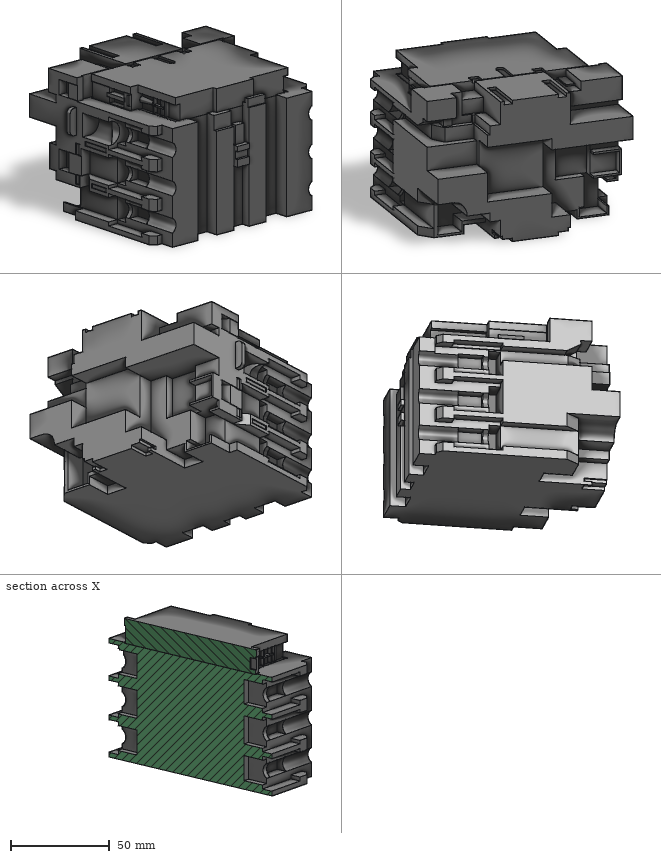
import cadquery as cq

HEIGHT = 75.5
HALF_WIDTH = 53.2
BODY_FRONT = 20.3
BODY_BACK = 94.2
DECK_Z = 62.9
SEAT_Z = 62.4
COVER_WIDE = 43.1
COVER_NARROW = 38.0
COVER_STEP_X = 65.6
TERMINAL_FACE = 47.2
TERMINAL_BACK = 102.3
OVERALL_LENGTH = 103.25
OVERALL_WIDTH = 110.7
TOWER_HALF = 19.1
TOWER_BACK = 35.0
SHOULDER_BACK = 36.2
COVER_FRONT = 35.9
LEDGE_Z = 70.7
FLOOR_RIM = 4.8
ARM_BOTTOM = 46.2
ARM_TOP = 58.5
SHELF_Z = 38.5
STEP_Y = 26.1
SKIRT_Z = 17.8
SMALL = 1.0


def block(x, y, z):
    """Box spanning the given (low, high) ranges."""
    size = (x[1] - x[0], y[1] - y[0], z[1] - z[0])
    return cq.Workplane("XY").box(*size, centered=False).translate((x[0], y[0], z[0]))


def plan_prism(points, z):
    """Prism with an XY outline, spanning the given z range."""
    return cq.Workplane("XY").workplane(offset=z[0]).polyline(points).close().extrude(z[1] - z[0])


def rod(x, y, z, radius):
    """Round bar along X."""
    return cq.Workplane("YZ").workplane(offset=x[0]).center(y, z).circle(radius).extrude(x[1] - x[0])


def cover_outline(wide, narrow, z):
    """Stepped plan shape shared by the cover and its seat."""
    points = [
        (COVER_FRONT, -wide),
        (COVER_STEP_X, -wide),
        (COVER_STEP_X, -narrow),
        (BODY_BACK, -narrow),
        (BODY_BACK, narrow),
        (COVER_STEP_X, narrow),
        (COVER_STEP_X, wide),
        (COVER_FRONT, wide),
    ]
    return plan_prism(points, z)


ARC_TOP_Z = 24.9
ARC_END = (37.3, 16.8)
ARC_START_Y = 45.0
ARC_MID = (39.6, 22.6)
SIDE_STEP_Y = 24.7
RECESS_BOTTOM = 22.9
RECESS_TOP = 52.1
RECESS_DEPTH = 11.7
NARROW_Y = -8.9
FOOT_TOP = 10.3
LOW_STEP_Z = 12.1
HIGH_STEP_Z = 63.4
SHOULDER_STEP_Z = 58.6


def stepped_face():
    outline = (
        cq.Workplane("YZ")
        .moveTo(-TOWER_HALF, 0)
        .lineTo(TOWER_HALF, 0)
        .lineTo(TOWER_HALF, LOW_STEP_Z)
        .lineTo(SIDE_STEP_Y, LOW_STEP_Z)
        .lineTo(SIDE_STEP_Y, ARC_END[1])
        .lineTo(*ARC_END)
        .threePointArc(ARC_MID, (ARC_START_Y, ARC_TOP_Z))
        .lineTo(HALF_WIDTH, ARC_TOP_Z)
        .lineTo(HALF_WIDTH, SHELF_Z)
        .lineTo(STEP_Y, SHELF_Z)
        .lineTo(STEP_Y, SHOULDER_STEP_Z)
        .lineTo(SIDE_STEP_Y, SHOULDER_STEP_Z)
        .lineTo(SIDE_STEP_Y, HIGH_STEP_Z)
        .lineTo(TOWER_HALF, HIGH_STEP_Z)
        .lineTo(TOWER_HALF, HEIGHT)
        .lineTo(-TOWER_HALF, HEIGHT)
        .lineTo(-TOWER_HALF, ARM_TOP)
        .lineTo(-HALF_WIDTH, ARM_TOP)
        .lineTo(-HALF_WIDTH, ARM_BOTTOM)
        .lineTo(NARROW_Y, ARM_BOTTOM)
        .lineTo(NARROW_Y, FOOT_TOP)
        .lineTo(-TOWER_HALF, FOOT_TOP)
        .close()
        .extrude(BODY_FRONT)
    )
    return outline.cut(block((0, RECESS_DEPTH), (NARROW_Y, STEP_Y), (RECESS_BOTTOM, RECESS_TOP)))


SLOT_DEPTH = 1.8
SLOT_Y = (12.6, 17.0)
TOP_SLOT_LENGTH = 22.5
BOTTOM_SLOT_LENGTH = RECESS_DEPTH


def face_slots():
    """Shallow grooves running back from x = 0 along the tower's top and underside."""
    slots = cq.Workplane("XY")
    for y in (SLOT_Y, (-SLOT_Y[1], -SLOT_Y[0])):
        slots = slots.add(block((0, TOP_SLOT_LENGTH), y, (HEIGHT - SLOT_DEPTH, HEIGHT)))
        slots = slots.add(block((0, BOTTOM_SLOT_LENGTH), y, (0, SLOT_DEPTH)))
    return slots.combine()


FOOT_CLIP_DEPTH = 1.2
FOOT_CLIP_TOP = 3.5
FOOT_UNDERCUT_LENGTH = 7.9
FOOT_UNDERCUT_DEPTH = TOWER_HALF - SLOT_Y[1]


def foot_clips():
    """Recesses with a small bar left at their back, in both sides of the foot."""
    side = -TOWER_HALF
    recess = block((0, RECESS_DEPTH), (side, side + FOOT_CLIP_DEPTH), (0, FOOT_CLIP_TOP))
    recess = recess.cut(block((FOOT_UNDERCUT_LENGTH, RECESS_DEPTH), (side, 0), (0, SLOT_DEPTH)))
    undercut_y = (side, side + FOOT_UNDERCUT_DEPTH)
    clip = recess.union(block((0, FOOT_UNDERCUT_LENGTH), undercut_y, (0, SLOT_DEPTH)))
    return clip.union(clip.mirror("XZ"))


UPPER_NOTCH_Z = (51.0, 58.7)
NOTCH_FLOOR = 46.4
END_CHAMFER = 2.9
SLANT_RUN = 7.0
SLANT_INNER_Y = 41.9
NOTCH_FRONT = 18.6
NOTCH_ROOF_Z = 62.5
FOOT_NOTCH_Y = (TOWER_HALF, 30.9)
FOOT_NOTCH_BACK = 35.0


def main_body():
    body = block((BODY_FRONT, BODY_BACK), (-HALF_WIDTH, HALF_WIDTH), (0, DECK_Z))
    full_x = (BODY_FRONT, BODY_BACK)
    outside = HALF_WIDTH + SMALL
    body = body.cut(block(full_x, (NOTCH_FLOOR, outside), UPPER_NOTCH_Z))
    for y in ((TERMINAL_FACE, outside), (-outside, -TERMINAL_FACE)):
        body = body.cut(block(full_x, y, (FLOOR_RIM, SKIRT_Z)))
    for side in (1, -1):
        corner = [
            (BODY_BACK, side * HALF_WIDTH),
            (BODY_BACK - END_CHAMFER, side * HALF_WIDTH),
            (BODY_BACK, side * (HALF_WIDTH - END_CHAMFER)),
        ]
        body = body.cut(plan_prism(corner, (0, DECK_Z)))
    body = body.cut(cover_outline(COVER_WIDE, COVER_NARROW, (SEAT_Z, DECK_Z)))
    return body.union(block((BODY_FRONT, TOWER_BACK), (-TOWER_HALF, TOWER_HALF), (DECK_Z, HEIGHT)))


def slanted_starts():
    """Cutters that give the +Y walls slanted front ends."""
    def slant(front, inner, outer, z):
        points = [(front, inner), (front, outer), (front + SLANT_RUN, outer)]
        return plan_prism(points, z)

    slants = slant(NOTCH_FRONT, SLANT_INNER_Y, NOTCH_FLOOR, UPPER_NOTCH_Z)
    slants = slants.union(slant(BODY_FRONT, TERMINAL_FACE, HALF_WIDTH, (0, FLOOR_RIM)))
    slants = slants.union(slant(BODY_FRONT, TERMINAL_FACE, HALF_WIDTH, (SKIRT_Z, ARC_TOP_Z)))
    roof = (
        cq.Workplane("XZ", origin=(0, HALF_WIDTH, 0))
        .moveTo(BODY_FRONT, UPPER_NOTCH_Z[1])
        .lineTo(BODY_FRONT, NOTCH_ROOF_Z)
        .lineTo(BODY_FRONT + SLANT_RUN, UPPER_NOTCH_Z[1])
        .close()
        .extrude(HALF_WIDTH - SLANT_INNER_Y)
    )
    return slants.union(roof)


def channel_face():
    """Face block standing slightly forward at the start of the +Y channel."""
    return block((NOTCH_FRONT, BODY_FRONT), (STEP_Y, NOTCH_FLOOR), UPPER_NOTCH_Z)


def corner_undercut():
    """Step back of the body under the inner part of the +Y corner block."""
    return block((BODY_FRONT, POS_STEP_X), (STEP_Y, POS_STEP_Y), (UPPER_NOTCH_Z[1], DECK_Z))


def foot_notches():
    """Notches under the body on both sides of the tower foot."""
    low, high = FOOT_NOTCH_Y
    x = (BODY_FRONT, FOOT_NOTCH_BACK)
    return block(x, (low, high), (0, FLOOR_RIM)).union(block(x, (-high, -low), (0, FLOOR_RIM)))


CORNER_FRONT = 14.5
NEG_BLOCK_Y = -30.7
POS_BLOCK_Y = 31.2
POS_STEP_Y = 37.2
POS_STEP_X = 21.7
LEDGE_FRONT = 22.9
POS_BLOCK_BOTTOM = 64.6
PAD_Y = -25.9
PAD_Z = 71.6
SLIT_Y = (-48.9, 46.4)


def front_corners():
    to_back = (CORNER_FRONT, SHOULDER_BACK)
    to_slit = (CORNER_FRONT, TOWER_BACK)
    neg = block(to_back, (-HALF_WIDTH, NEG_BLOCK_Y), (DECK_Z, HEIGHT))
    neg_ledge = block(to_slit, (NEG_BLOCK_Y, -TOWER_HALF), (DECK_Z, LEDGE_Z))
    pad = block((LEDGE_FRONT, TOWER_BACK), (NEG_BLOCK_Y, PAD_Y), (LEDGE_Z, PAD_Z))
    pos = block(to_back, (POS_STEP_Y, HALF_WIDTH), (POS_BLOCK_BOTTOM, HEIGHT))
    pos_root = block((BODY_FRONT, SHOULDER_BACK), (POS_STEP_Y, HALF_WIDTH), (DECK_Z, POS_BLOCK_BOTTOM))
    pos_inner = block((POS_STEP_X, SHOULDER_BACK), (POS_BLOCK_Y, POS_STEP_Y), (DECK_Z, HEIGHT))
    pos_ledge = block((LEDGE_FRONT, TOWER_BACK), (TOWER_HALF, POS_BLOCK_Y), (DECK_Z, LEDGE_Z))
    shelf = block((CORNER_FRONT, BODY_FRONT), (STEP_Y, HALF_WIDTH), (SHELF_Z, UPPER_NOTCH_Z[0]))
    corners = neg
    for piece in (neg_ledge, pad, pos, pos_root, pos_inner, pos_ledge, shelf):
        corners = corners.union(piece)
    return corners.cut(block((TOWER_BACK, SHOULDER_BACK), SLIT_Y, (DECK_Z, HEIGHT)))


LATCH_FRONT = 15.5
LATCH_Y = -37.8
LATCH_Z = (22.4, 36.2)
TRAY_SIDE_Y = -34.7
BAY_BACK = 25.0
POCKET_Z = (19.0, LATCH_Z[0])
POCKET_SKIN = 1.2
LATCH_WALL = 1.1
TRAY_FLOOR = 0.9
TRAY_WALL_FRONT = 35.0
TRAY_OUTER_Y = -48.2
TRAY_INNER_Y = -TERMINAL_FACE
TRAY_TOE_Y = -32.1
TRAY_TOE_TOP = 6.0
TRAY_BACK = 32.4
POS_TRAY_FLOOR = 1.2
POS_TRAY_Y = 32.0
POS_TRAY_SILL = 7.0


def latch_block():
    latch = block((LATCH_FRONT, BODY_FRONT), (-HALF_WIDTH, LATCH_Y), LATCH_Z)
    hollow_y = (LATCH_WALL - HALF_WIDTH, LATCH_Y)
    hollow_z = (LATCH_Z[0] + LATCH_WALL, LATCH_Z[1] - LATCH_WALL)
    return latch.cut(block((LATCH_FRONT, BODY_FRONT), hollow_y, hollow_z))


def bay_and_trays():
    """Open cavities in the front of the main body, below the arm and on the +Y side."""
    bay = block((BODY_FRONT, BAY_BACK), (LATCH_Y, -TOWER_HALF), (LATCH_Z[0], ARM_BOTTOM))
    pocket = block((BODY_FRONT, BAY_BACK), (POCKET_SKIN - HALF_WIDTH, TRAY_INNER_Y), POCKET_Z)
    tray_x = (BODY_FRONT, TRAY_BACK)
    tray = block(tray_x, (TRAY_INNER_Y, TRAY_SIDE_Y), (TRAY_FLOOR, LATCH_Z[0]))
    toe = block(tray_x, (TRAY_SIDE_Y, TRAY_TOE_Y), (TRAY_FLOOR, TRAY_TOE_TOP))
    rim_x = (BODY_FRONT, TRAY_WALL_FRONT)
    rim = block(rim_x, (-HALF_WIDTH, TRAY_OUTER_Y), (0, FLOOR_RIM))
    pos_outer = block(tray_x, (POS_TRAY_Y, ARC_START_Y), (POS_TRAY_FLOOR, ARC_TOP_Z))
    pos_inner = block(tray_x, (TOWER_HALF, POS_TRAY_Y), (POS_TRAY_SILL, ARC_TOP_Z))
    cavities = bay
    for cavity in (pocket, tray, toe, rim, pos_outer, pos_inner):
        cavities = cavities.union(cavity)
    return cavities


WINDOW_FRONT = 22.6
WINDOW_DEPTH = 5.0
WINDOW_FLAT = 0.3
UPPER_RAMP_X = (26.2, 29.4)
LOWER_RAMP_X = (26.7, 29.8)
UPPER_WINDOW_Z = (DECK_Z + 0.4, 71.4)
LOWER_WINDOW_Z = (23.9, 34.6)
FLAG_BACK = 39.3


def ramp_window(ramp_x, back, z):
    """Pocket in the -Y wall whose floor ramps up to a nearly flush flat."""
    floor_y = WINDOW_DEPTH - HALF_WIDTH
    flat_y = WINDOW_FLAT - HALF_WIDTH
    outside = -HALF_WIDTH - SMALL
    points = [
        (WINDOW_FRONT, outside),
        (WINDOW_FRONT, floor_y),
        (ramp_x[0], floor_y),
        (ramp_x[1], flat_y),
        (back, flat_y),
        (back, outside),
    ]
    return plan_prism(points, z)


COMB_FRONT = 60.4
MIDDLE_OPENING_Z = (24.1, 38.8)
FIN_RAMP_X = (38.7, 45.8)
TUNNEL_FRONT = 40.6
TUNNEL_Z = (45.2, 57.8)
TUNNEL_STEP = 51.2
TUNNEL_DEPTHS = (11.0, 7.5)
LABEL_DEPTH = 0.6
LABEL_BACK = 58.4
LABELS = (
    ((42.6, LABEL_BACK), (40.9, 43.2)),
    ((47.4, LABEL_BACK), (19.8, 22.0)),
)
TAB_X = (35.0, 38.0)
TABS_Z = ((19.0, LOWER_WINDOW_Z[0]), (LOWER_WINDOW_Z[1], 40.6))
TAB_DEPTH = 0.8


def middle_opening():
    wall_y = (-HALF_WIDTH - SMALL, -TERMINAL_FACE)
    opening = block((FLAG_BACK, COMB_FRONT), wall_y, MIDDLE_OPENING_Z)
    ramp = [
        (FIN_RAMP_X[0], -HALF_WIDTH),
        (FIN_RAMP_X[1], -HALF_WIDTH),
        (FIN_RAMP_X[0], -TERMINAL_FACE),
    ]
    return opening.union(plan_prism(ramp, (SKIRT_Z, MIDDLE_OPENING_Z[0])))


def tunnel():
    """Rounded trough, deeper at its front and ramping up to a shallower part."""
    radius = (TUNNEL_Z[1] - TUNNEL_Z[0]) / 2
    centre_z = (TUNNEL_Z[1] + TUNNEL_Z[0]) / 2
    x = (TUNNEL_FRONT, COMB_FRONT)
    deep_y, shallow_y = (depth - HALF_WIDTH for depth in TUNNEL_DEPTHS)
    mouth = -HALF_WIDTH - SMALL

    def trough(floor_y):
        axis_y = floor_y - radius
        return rod(x, axis_y, centre_z, radius).union(block(x, (mouth, axis_y), TUNNEL_Z))

    ramp_run = deep_y - mouth
    front_part = plan_prism(
        [
            (TUNNEL_FRONT, mouth),
            (TUNNEL_FRONT, deep_y),
            (TUNNEL_STEP, deep_y),
            (TUNNEL_STEP + ramp_run, mouth),
        ],
        TUNNEL_Z,
    )
    return trough(deep_y).intersect(front_part).union(trough(shallow_y))


def wall_marks():
    """Shallow label recesses and the tab slots above and below the flag."""
    outer = -HALF_WIDTH - SMALL
    marks = cq.Workplane("XY")
    for z in TABS_Z:
        marks = marks.add(block(TAB_X, (outer, TAB_DEPTH - HALF_WIDTH), z))
    for x, z in LABELS:
        marks = marks.add(block(x, (outer, LABEL_DEPTH - HALF_WIDTH), z))
    return marks.combine()


POLE_Z = (11.4, 31.1, 51.5)
OPENINGS_Z = ((2.7, 19.8), (22.4, 40.6), (43.1, 60.3))
TERMINAL_FRONT = 66.4
GAP_DEPTH = 12.0
STOP_FRONT = 85.6
STOPS_Z = ((0, FLOOR_RIM), (17.8, 24.2), (38.8, 45.3), (58.0, DECK_Z))
TERMINAL_INNER_Y = 30.0
GROOVE_HALF_CHORD = 3.9
GROOVE_RADIUS = 4.4
SCREW_X = (69.2, 82.0)
SCREW_DEPTH = 6.0


def terminal_openings(side):
    """Comb openings, gaps, conductor grooves and screw pockets on one side (+1 or -1 in Y)."""
    def across(inner, outer):
        return tuple(sorted((side * inner, side * outer)))

    outside = HALF_WIDTH + SMALL
    cutter = cq.Workplane("XY")
    for z in OPENINGS_Z:
        cutter = cutter.add(block((COMB_FRONT, STOP_FRONT), across(TERMINAL_FACE, outside), z))
        low_stop = max(top for _, top in STOPS_Z if top < z[1] and top > z[0])
        high_stop = min(low for low, _ in STOPS_Z if low > low_stop)
        end_z = (low_stop, high_stop)
        gap_y = across(TERMINAL_FACE - GAP_DEPTH, TERMINAL_FACE)
        cutter = cutter.add(block((COMB_FRONT, TERMINAL_FRONT), gap_y, end_z))
        cutter = cutter.add(block((STOP_FRONT, BODY_BACK), across(TERMINAL_FACE, outside), end_z))
    groove_offset = (GROOVE_RADIUS**2 - GROOVE_HALF_CHORD**2) ** 0.5
    for z in POLE_Z:
        groove_y = side * (TERMINAL_FACE + groove_offset)
        cutter = cutter.add(rod((TERMINAL_FRONT, TERMINAL_BACK), groove_y, z, GROOVE_RADIUS))
        screw_y = across(TERMINAL_FACE - SCREW_DEPTH, TERMINAL_FACE)
        screw_z = (z - GROOVE_HALF_CHORD, z + GROOVE_HALF_CHORD)
        cutter = cutter.add(block(SCREW_X, screw_y, screw_z))
    return cutter


def terminal_ends():
    """Blocks carrying the conductor grooves on past the walls."""
    x = (BODY_BACK, TERMINAL_BACK)
    right = block(x, (-TERMINAL_FACE, -TERMINAL_INNER_Y), (0, DECK_Z))
    return right.union(right.mirror("XZ"))


RIB_BACK = 96.7
CLIP_Y = (5.1, 16.7)
CLIP_BACK = 101.6
CENTRE_CLIP_HALF = 4.1
CLIP_Z = (33.6, 44.7)
CLIP_GAP_Z = (37.7, 41.8)
SHORT_CLIP_X = 99.6
SHORT_CLIP_TOP = 55.0
POST_X = 100.4
POST_HALF = 2.9
POST_TOP = 55.0
HOOK_X = (98.4, 100.7)
HOOK_TOP = 67.4
HOOK_FOOT_TOP = 64.9


def rear_clips():
    half = CLIP_Y[1]
    clips = block((BODY_BACK, RIB_BACK), (-half, half), (0, DECK_Z))
    for y in (CLIP_Y, (-half, -CLIP_Y[0])):
        clips = clips.union(block((RIB_BACK, CLIP_BACK), y, (0, DECK_Z)))
    clips = clips.union(block((RIB_BACK, HOOK_X[1]), CLIP_Y, (DECK_Z, HOOK_FOOT_TOP)))
    clips = clips.union(block(HOOK_X, CLIP_Y, (HOOK_FOOT_TOP, HOOK_TOP)))
    step_y = (-half, -CLIP_Y[0])
    clips = clips.cut(block((SHORT_CLIP_X, CLIP_BACK), step_y, (SHORT_CLIP_TOP, DECK_Z)))
    post = block((RIB_BACK, POST_X), (-POST_HALF, POST_HALF), (CLIP_Z[1], POST_TOP))
    clips = clips.union(post)
    centre_y = (-CENTRE_CLIP_HALF, CENTRE_CLIP_HALF)
    clips = clips.union(block((RIB_BACK, OVERALL_LENGTH), centre_y, CLIP_Z))
    return clips.cut(block((CLIP_BACK, OVERALL_LENGTH), centre_y, CLIP_GAP_Z))


def make_housing():
    housing = main_body()
    parts = (
        stepped_face(),
        channel_face(),
        front_corners(),
        latch_block(),
        terminal_ends(),
        rear_clips(),
    )
    for part in parts:
        housing = housing.union(part)
    cutters = (
        face_slots(),
        foot_clips(),
        foot_notches(),
        corner_undercut(),
        slanted_starts(),
        bay_and_trays(),
        ramp_window(UPPER_RAMP_X, SHOULDER_BACK, UPPER_WINDOW_Z),
        ramp_window(LOWER_RAMP_X, FLAG_BACK, LOWER_WINDOW_Z),
        middle_opening(),
        tunnel(),
        wall_marks(),
    )
    for cutter in cutters:
        housing = housing.cut(cutter)
    for side in (1, -1):
        for cutter in terminal_openings(side).vals():
            housing = housing.cut(cq.Workplane(cutter))
    return housing


PLATE_Z = 71.5
OVERHANG = 0.6
REAR_OVERHANG = 3.0
TONGUE_HALF = 12.5
KEYWAY_END = 50.0
KEYWAY_WIDTH = 4.4
POCKET_BACK = 41.2
POCKET_Y = (14.7, 20.0)
POCKET_DEPTH = 1.2
CONTACT_X = (48.9, 60.0)
CONTACT_DEPTH = 3.5
CONTACT_RAMP = 2.2
BAR_X = (47.7, 60.9)
BAR_Z = (66.3, 68.3)
POS_BAR_Y = 43.8
FRAME_X = (62.4, 64.0)
FRAME_Z = (64.6, 70.4)
REAR_RIBS_X = ((76.0, 77.0), (82.0, 83.0), (84.9, 86.0))
RIB_DEPTH = 2.2
RAIL_Z = (66.7, 67.6)
RAIL_X = (75.5, 84.3)
PIN_X = (COVER_STEP_X, 74.5)
PIN_Z = 67.3
PIN_RADII = (1.8, 1.0)


def side_contacts():
    """Details on the -Y flank below the plate, as (pieces to remove, pieces to add)."""
    flank = OVERHANG - COVER_WIDE
    floor = flank + CONTACT_DEPTH
    pocket = plan_prism(
        [
            (CONTACT_X[0], flank),
            (CONTACT_X[0], floor),
            (CONTACT_X[1] - CONTACT_RAMP, floor),
            (CONTACT_X[1], flank),
        ],
        (DECK_Z, PLATE_Z),
    )
    frame = block(FRAME_X, (flank, floor), FRAME_Z)
    bar = block(BAR_X, (-COVER_WIDE, floor), BAR_Z)
    rear = REAR_OVERHANG - COVER_NARROW
    added = bar.union(block(RAIL_X, (rear - RIB_DEPTH, rear), RAIL_Z))
    for x in REAR_RIBS_X:
        added = added.union(block(x, (rear - RIB_DEPTH, rear), (DECK_Z, PLATE_Z)))
    pin = (
        cq.Workplane("YZ").workplane(offset=PIN_X[0]).center(rear, PIN_Z).circle(PIN_RADII[0])
        .workplane(offset=PIN_X[1] - PIN_X[0]).circle(PIN_RADII[1]).loft()
    )
    return pocket.union(frame), added.union(pin)


def make_cover():
    lower = cover_outline(COVER_WIDE - OVERHANG, COVER_NARROW - REAR_OVERHANG, (SEAT_Z, PLATE_Z))
    removed, added = side_contacts()
    pos_bar = block(BAR_X, (COVER_WIDE - OVERHANG, POS_BAR_Y), BAR_Z)
    cover = lower.cut(removed).union(added).union(pos_bar)
    cover = cover.union(cover_outline(COVER_WIDE, COVER_NARROW, (PLATE_Z, HEIGHT)))
    cover = cover.union(block((BODY_BACK, RIB_BACK), (-TONGUE_HALF, TONGUE_HALF), (DECK_Z, HEIGHT)))
    pocket_z = (HEIGHT - POCKET_DEPTH, HEIGHT)
    for y in (POCKET_Y, (-POCKET_Y[1], -POCKET_Y[0])):
        cover = cover.cut(block((COVER_FRONT, POCKET_BACK), y, pocket_z))
    keyway = (
        cq.Workplane("XY").workplane(offset=pocket_z[0]).center(COVER_FRONT, 0)
        .slot2D(2 * (KEYWAY_END - COVER_FRONT), KEYWAY_WIDTH).extrude(POCKET_DEPTH)
    )
    return cover.cut(keyway)


LEVER_X = (33.5, 36.0)
LEVER_Z = (45.1, 59.7)
LEVER_ROUND = 2.6


def make_lever():
    tip_y = HALF_WIDTH - OVERALL_WIDTH
    lever = block(LEVER_X, (tip_y, -HALF_WIDTH), LEVER_Z)
    return lever.faces("<Y").edges("|X").fillet(LEVER_ROUND)


housing = make_housing()
cover = make_cover()
lever = make_lever()

result = cq.Compound.makeCompound([body.solids().val() for body in (housing, cover, lever)])